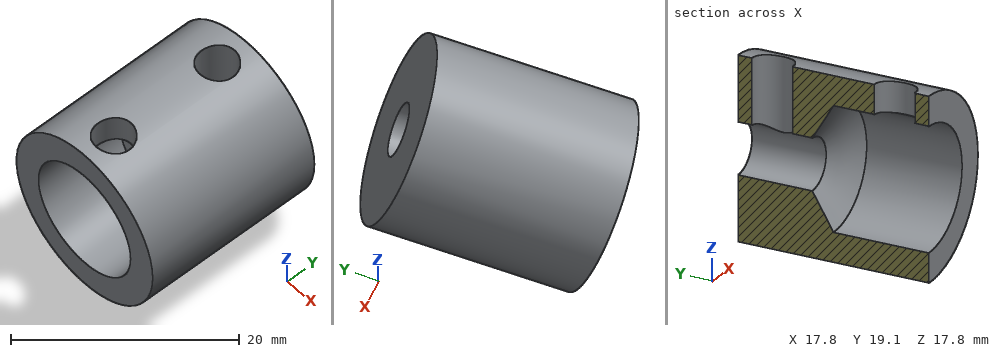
import cadquery as cq
import math

length = 19.05
outer_diameter = 17.77

bore_diameter = 12.0
bore_depth = 9.52
cone_angle = 118.0
through_diameter = 5.0

screw_hole_diameter = 4.04
screw_hole_inset = 3.43

outer_radius = outer_diameter / 2
bore_radius = bore_diameter / 2
through_radius = through_diameter / 2
cone_length = (bore_radius - through_radius) / math.tan(math.radians(cone_angle / 2))
front_y = -length / 2
back_y = length / 2
cone_start_y = front_y + bore_depth


def make_sleeve():
    """Revolve the half section of the sleeve, bore and cone around Y."""
    section = (
        cq.Workplane("XY")
        .moveTo(bore_radius, front_y)
        .lineTo(outer_radius, front_y)
        .lineTo(outer_radius, back_y)
        .lineTo(through_radius, back_y)
        .lineTo(through_radius, cone_start_y + cone_length)
        .lineTo(bore_radius, cone_start_y)
        .close()
    )
    return section.revolve(360, (0, 0, 0), (0, 1, 0))


def make_screw_holes():
    """Cutters running from the sleeve axis out through the +Z wall."""
    hole_y = length / 2 - screw_hole_inset
    return (
        cq.Workplane("XY")
        .pushPoints([(0, -hole_y), (0, hole_y)])
        .circle(screw_hole_diameter / 2)
        .extrude(outer_radius)
    )


result = make_sleeve().cut(make_screw_holes())